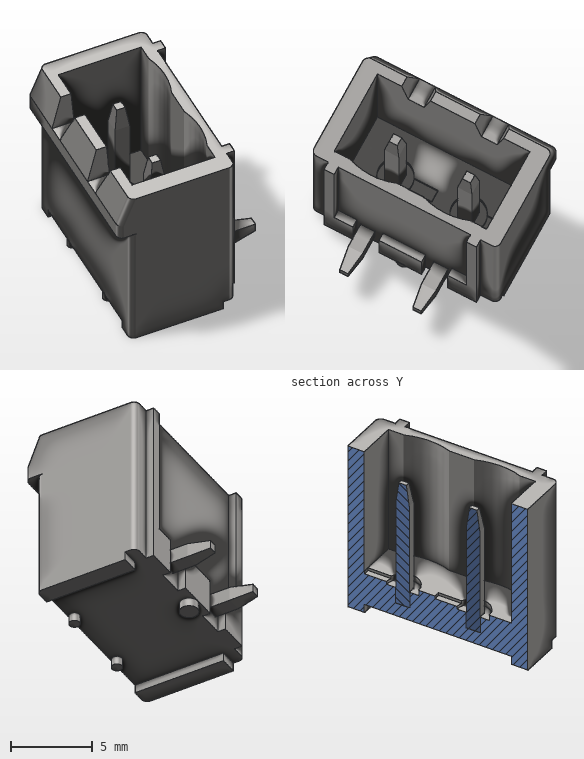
import cadquery as cq


width = 12.96
depth = 7.09
height = 12.0
corner_radius = 0.4

cavity_width = 10.58
cavity_front = 0.69
cavity_back = 6.3
floor_z = 3.11
scallop_chord = 3.27
scallop_rise = 0.3

lip_overhang = 0.8
lip_bottom = 8.97
lip_edge_top = 10.02

notch_offset = 0.06
notch_top_width = 2.0
notch_bottom_width = 1.1

pin_recess_depth = 0.39
pin_recess_diameter = 2.3
groove_depth = 0.2
groove_width = 0.82
groove_reach = 2.73

foot_height = 0.6
small_peg_diameter = 0.7
large_peg_diameter = 1.2
large_peg_y = 7.0

rail_depth = 0.53
rail_width = 0.7
outer_pad_width = 1.3
middle_pad_width = 2.95

pin_pitch = 5.08
pin_size = 1.0
pin_tip_size = 0.57
pin_taper_length = 1.5
pin_y = 3.5
pin_top = 10.6
tail_z = 2.07
tail_reach = 3.11

pin_positions = [-pin_pitch / 2, pin_pitch / 2]
rail_back = depth + rail_depth


def block(x_min, x_max, y_min, y_max, z_min, z_max):
    """Box given by its limits along each axis."""
    box = cq.Workplane("XY").box(x_max - x_min, y_max - y_min, z_max - z_min, centered=False)
    return box.translate((x_min, y_min, z_min))


def cylinder(x, y, diameter, z_min, z_max):
    """Upright cylinder about the axis through (x, y)."""
    base = cq.Workplane("XY", origin=(x, y, z_min))
    return base.circle(diameter / 2).extrude(z_max - z_min)


def lip():
    """Overhanging lip with a sloped top and rounded ends, reaching back to the cavity."""
    profile = [
        (cavity_front, lip_bottom),
        (-lip_overhang, lip_bottom),
        (-lip_overhang, lip_edge_top),
        (0, height),
        (cavity_front, height),
    ]
    bar = cq.Workplane("YZ", origin=(-width / 2, 0, 0)).polyline(profile).close().extrude(width)
    margin = 0.06
    end_edges = cq.selectors.BoxSelector(
        (-width, -lip_overhang - margin, lip_bottom), (width, -margin, height)
    )
    return bar.edges("#X").edges(end_edges).fillet(corner_radius)


def shell():
    """Rounded outer block standing on two side feet, with the lip on its front."""
    upper = block(-width / 2, width / 2, 0, depth, foot_height, height)
    upper = upper.edges("|Z").fillet(corner_radius)
    feet = block(-width / 2, width / 2, 0, depth, 0, foot_height).edges("|Z").fillet(corner_radius)
    feet = feet.intersect(block(-width / 2, width / 2, 0, cavity_back, 0, foot_height))
    feet = feet.cut(block(-cavity_width / 2, cavity_width / 2, 0, depth, 0, foot_height))
    return upper.union(feet).union(lip())


def back_rails():
    """Full-height rails at both sides of the back face and low pads beside the pin tails."""
    rail_outer = cavity_width / 2
    rail_inner = rail_outer - rail_width
    pad_inner = rail_inner - outer_pad_width
    half_middle = middle_pad_width / 2
    rails = block(-half_middle, half_middle, cavity_back, rail_back, foot_height, floor_z)
    for x_min, x_max, top in [
        (-rail_outer, -rail_inner, height),
        (rail_inner, rail_outer, height),
        (-rail_inner, -pad_inner, floor_z),
        (pad_inner, rail_inner, floor_z),
    ]:
        rails = rails.union(block(x_min, x_max, cavity_back, rail_back, foot_height, top))
    return rails


def pegs():
    """Two small pegs flush with the front face and a large one under the middle pad."""
    peg_top = floor_z / 2
    solid = cylinder(0, large_peg_y, large_peg_diameter, 0, peg_top)
    for x in pin_positions:
        solid = solid.union(cylinder(x, small_peg_diameter / 2, small_peg_diameter, 0, peg_top))
    return solid


def cavity():
    """Open plug space with a shallow arched scallop in the back wall behind each pin."""
    half = cavity_width / 2
    outline = cq.Workplane("XY", origin=(0, 0, floor_z)).moveTo(-half, cavity_front)
    outline = outline.lineTo(-half, cavity_back)
    for x in pin_positions:
        outline = outline.lineTo(x - scallop_chord / 2, cavity_back)
        outline = outline.threePointArc(
            (x, cavity_back + scallop_rise), (x + scallop_chord / 2, cavity_back)
        )
    outline = outline.lineTo(half, cavity_back).lineTo(half, cavity_front).close()
    return outline.extrude(height - floor_z)


def latch_notch(x):
    """Notch through the front wall and lip that narrows towards its flat floor."""
    profile = [
        (x - notch_top_width / 2, height),
        (x - notch_bottom_width / 2, lip_edge_top),
        (x + notch_bottom_width / 2, lip_edge_top),
        (x + notch_top_width / 2, height),
    ]
    start = cq.Workplane("XZ", origin=(0, cavity_front, 0))
    return start.polyline(profile).close().extrude(cavity_front + lip_overhang)


def floor_recess(x):
    """Round recess about a pin with a shallower straight groove leading to it from the left."""
    half = groove_width / 2
    start = max(x - groove_reach, -cavity_width / 2)
    groove = block(start, x, pin_y - half, pin_y + half, floor_z - groove_depth, floor_z)
    recess = cylinder(x, pin_y, pin_recess_diameter, floor_z - pin_recess_depth, floor_z)
    return groove.union(recess)


def pin_leg(plane, origin, straight_length):
    """Square bar along the plane normal, ending in a tapered tip."""
    start = cq.Workplane(plane, origin=origin)
    bar = start.rect(pin_size, pin_size).extrude(straight_length)
    tip = start.workplane(offset=straight_length).rect(pin_size, pin_size)
    tip = tip.workplane(offset=pin_taper_length).rect(pin_tip_size, pin_tip_size).loft()
    return bar.union(tip)


def pin(x):
    """Pin with an upright contact leg and a tail bent out through the back wall."""
    half = pin_size / 2
    contact_start = tail_z - half
    tail_start = pin_y - half
    contact_length = pin_top - pin_taper_length - contact_start
    tail_length = depth + tail_reach - pin_taper_length - tail_start
    contact = pin_leg("XY", (x, pin_y, contact_start), contact_length)
    tail = pin_leg("ZX", (x, tail_start, tail_z), tail_length)
    return contact.union(tail)


pins = [pin(x) for x in pin_positions]

housing = shell().union(back_rails()).union(pegs()).cut(cavity())
for x in pin_positions:
    housing = housing.cut(latch_notch(x + notch_offset)).cut(floor_recess(x))
for placed_pin in pins:
    housing = housing.cut(placed_pin)

result = cq.Compound.makeCompound([housing.val(), *[placed_pin.val() for placed_pin in pins]])